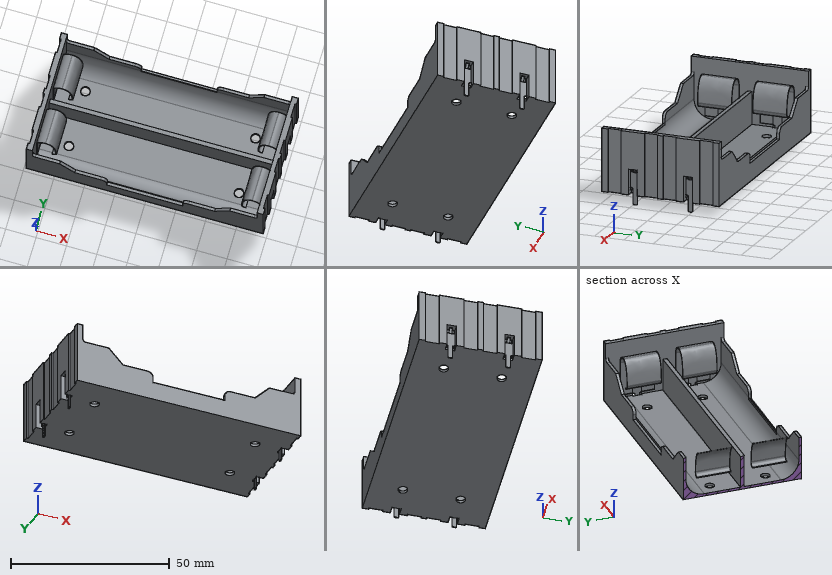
import cadquery as cq
LENGTH = 78.0
WIDTH = 40.0
HEIGHT = 21.2
FLOOR = 1.0
SIDE_WALL = 1.0
END_WALL = 2.0
DIVIDER = 1.4
DIVIDER_TOP = 12.0
CRADLE_RADIUS = 6.0
CELL_Y = 9.4
CAVITY_X = LENGTH / 2 - END_WALL

SHOULDER_TOP = 15.0
SHOULDER_FILLET = 1.0
SHOULDER_X = 28.0
RAIL_TOP = 10.0
RAIL_X = SHOULDER_X - (SHOULDER_TOP - RAIL_TOP)
NOTCH_BOTTOM = 6.2
NOTCH_X = 12.5
NOTCH_FILLET = 2.0

RECESS_DEPTH = 0.5
MIDDLE_RIB = 1.8
CELL_RIB = 8.0
CORNER_RIB = 2.1
HOLE_DIAMETER = 3.0
HOLE_X = 28.0
SLOT_WIDTH = 3.0
SLOT_TOP = 8.6
SLOT_DEPTH = 2.5

STRIP = 0.3
CONTACT_WIDTH = 11.6
DOME_RADIUS = 3.0
DOME_TOP = 16.6
SPRING_REACH = 6.6
CROWN_PULL = 2.75
FRONT_PULL = 4.0
CURL_TOP = 8.2
CURL_RADIUS = 1.5
PLATE_BOTTOM = 1.9
LEG_WIDTH = 1.5
LEG_LENGTH = 3.8
LEG_SHOULDER = 0.45
LEG_TIP_CHAMFER = 0.3
WINDOW_WIDTH = 2.4
WINDOW_BOTTOM = 7.2
BARB_WIDTH = 1.0
BARB_ROOT = 0.2
BARB_REACH = 1.1
BARB_TOP = 8.5


def block(x_range, y_range, z_range):
    """Box between the given limits."""
    size = [high - low for low, high in (x_range, y_range, z_range)]
    corner = (x_range[0], y_range[0], z_range[0])
    return cq.Workplane("XY").box(*size, centered=False).translate(corner)


def side_opening():
    """Everything to remove above the two side walls."""
    half = (
        cq.Workplane("XZ", origin=(0, WIDTH / 2, 0))
        .moveTo(0, NOTCH_BOTTOM)
        .lineTo(NOTCH_X, NOTCH_BOTTOM)
        .lineTo(NOTCH_X, RAIL_TOP - NOTCH_FILLET)
        .radiusArc((NOTCH_X + NOTCH_FILLET, RAIL_TOP), NOTCH_FILLET)
        .lineTo(RAIL_X, RAIL_TOP)
        .lineTo(SHOULDER_X, SHOULDER_TOP)
        .lineTo(CAVITY_X - SHOULDER_FILLET, SHOULDER_TOP)
        .radiusArc((CAVITY_X, SHOULDER_TOP + SHOULDER_FILLET), -SHOULDER_FILLET)
        .lineTo(CAVITY_X, HEIGHT)
        .lineTo(0, HEIGHT)
        .close()
        .extrude(SIDE_WALL)
    )
    one_side = half.union(half.mirror("YZ"))
    return one_side.union(one_side.mirror("XZ"))


def cell_cavity():
    """Trough of the +Y cell: its outer lower edge is rounded to cradle the cell."""
    outer_y = WIDTH / 2 - SIDE_WALL
    return (
        cq.Workplane("YZ", origin=(-CAVITY_X, 0, 0))
        .moveTo(DIVIDER / 2, FLOOR)
        .lineTo(outer_y - CRADLE_RADIUS, FLOOR)
        .radiusArc((outer_y, FLOOR + CRADLE_RADIUS), -CRADLE_RADIUS)
        .lineTo(outer_y, HEIGHT)
        .lineTo(DIVIDER / 2, HEIGHT)
        .close()
        .extrude(2 * CAVITY_X)
    )


def make_housing():
    body = cq.Workplane("XY").box(LENGTH, WIDTH, HEIGHT, centered=(True, True, False))
    cavity = cell_cavity()
    body = body.cut(cavity).cut(cavity.mirror("XZ")).cut(side_opening())
    body = body.cut(block((-CAVITY_X, CAVITY_X), (-DIVIDER, DIVIDER), (DIVIDER_TOP, HEIGHT)))

    recesses = (
        (MIDDLE_RIB / 2, CELL_Y - CELL_RIB / 2),
        (CELL_Y + CELL_RIB / 2, WIDTH / 2 - CORNER_RIB),
    )
    for near_y, far_y in recesses:
        recess = block((-LENGTH / 2, -LENGTH / 2 + RECESS_DEPTH), (near_y, far_y), (0, HEIGHT))
        for copy in (recess, recess.mirror("XZ")):
            body = body.cut(copy).cut(copy.mirror("YZ"))

    for y in (-CELL_Y, CELL_Y):
        slot = block(
            (-LENGTH / 2, -LENGTH / 2 + SLOT_DEPTH),
            (y - SLOT_WIDTH / 2, y + SLOT_WIDTH / 2),
            (0, SLOT_TOP),
        )
        body = body.cut(slot).cut(slot.mirror("YZ"))

    holes = (
        cq.Workplane("XY")
        .rect(2 * HOLE_X, 2 * CELL_Y, forConstruction=True)
        .vertices()
        .circle(HOLE_DIAMETER / 2)
        .extrude(FLOOR)
    )
    return body.cut(holes)


def spring_side(inset):
    """One side of the bent strip as points; the inset is 0 outside and STRIP inside."""
    dome_x = -CAVITY_X + DOME_RADIUS
    front_x = -CAVITY_X + SPRING_REACH - inset
    curl = CURL_RADIUS - inset
    return {
        "plate": (-CAVITY_X + inset, PLATE_BOTTOM),
        "dome_start": (-CAVITY_X + inset, DOME_TOP - DOME_RADIUS),
        "dome_top": (dome_x, DOME_TOP - inset),
        "crown": (dome_x + CROWN_PULL - inset / 2, DOME_TOP - inset),
        "front": (front_x, CURL_TOP + FRONT_PULL - inset / 2),
        "curl_start": (front_x, CURL_TOP),
        "curl_end": (front_x - curl, CURL_TOP - curl),
        "dome_radius": DOME_RADIUS - inset,
        "curl_radius": curl,
    }


def spring_strip():
    """Bent strip: flat against the wall, over the dome, down the front and curled back."""
    outer = spring_side(0)
    inner = spring_side(STRIP)
    return (
        cq.Workplane("XZ", origin=(0, CONTACT_WIDTH / 2, 0))
        .moveTo(*outer["plate"])
        .lineTo(*outer["dome_start"])
        .radiusArc(outer["dome_top"], outer["dome_radius"])
        .bezier([outer["crown"], outer["front"], outer["curl_start"]], includeCurrent=True)
        .radiusArc(outer["curl_end"], outer["curl_radius"])
        .lineTo(*inner["curl_end"])
        .radiusArc(inner["curl_start"], -inner["curl_radius"])
        .bezier([inner["front"], inner["crown"], inner["dome_top"]], includeCurrent=True)
        .radiusArc(inner["dome_start"], -inner["dome_radius"])
        .lineTo(*inner["plate"])
        .close()
        .extrude(CONTACT_WIDTH)
    )


def pin_leg():
    """Flat leg below the plate, with sloping shoulders and a chamfered tip."""
    half_leg = LEG_WIDTH / 2
    half_slot = SLOT_WIDTH / 2
    half_tip = half_leg - LEG_TIP_CHAMFER
    right_edge = [
        (half_slot, PLATE_BOTTOM),
        (half_leg, PLATE_BOTTOM - LEG_SHOULDER),
        (half_leg, -LEG_LENGTH + LEG_TIP_CHAMFER),
        (half_tip, -LEG_LENGTH),
    ]
    left_edge = [(-y, z) for y, z in reversed(right_edge)]
    return (
        cq.Workplane("YZ", origin=(-CAVITY_X, 0, 0))
        .polyline(right_edge + left_edge)
        .close()
        .extrude(STRIP)
    )


def latch_barb():
    """Tongue bent out of the window, sloping up and outward into the wall slot."""
    return (
        cq.Workplane("XZ", origin=(0, BARB_WIDTH / 2, 0))
        .moveTo(-CAVITY_X, WINDOW_BOTTOM - BARB_ROOT)
        .lineTo(-CAVITY_X - BARB_REACH, BARB_TOP)
        .lineTo(-CAVITY_X - BARB_REACH + STRIP, BARB_TOP)
        .lineTo(-CAVITY_X + STRIP, WINDOW_BOTTOM)
        .lineTo(-CAVITY_X + STRIP, WINDOW_BOTTOM - BARB_ROOT)
        .close()
        .extrude(BARB_WIDTH)
    )


def make_contact():
    """Contact of the -X end, centred on Y = 0."""
    window = block(
        (-CAVITY_X, -CAVITY_X + STRIP),
        (-WINDOW_WIDTH / 2, WINDOW_WIDTH / 2),
        (WINDOW_BOTTOM, SLOT_TOP),
    )
    return spring_strip().cut(window).union(pin_leg()).union(latch_barb())


housing = make_housing()
contacts = []
for cell_y in (-CELL_Y, CELL_Y):
    near_contact = make_contact().translate((0, cell_y, 0))
    contacts += [near_contact.val(), near_contact.mirror("YZ").val()]

result = cq.Compound.makeCompound([housing.val(), *contacts])